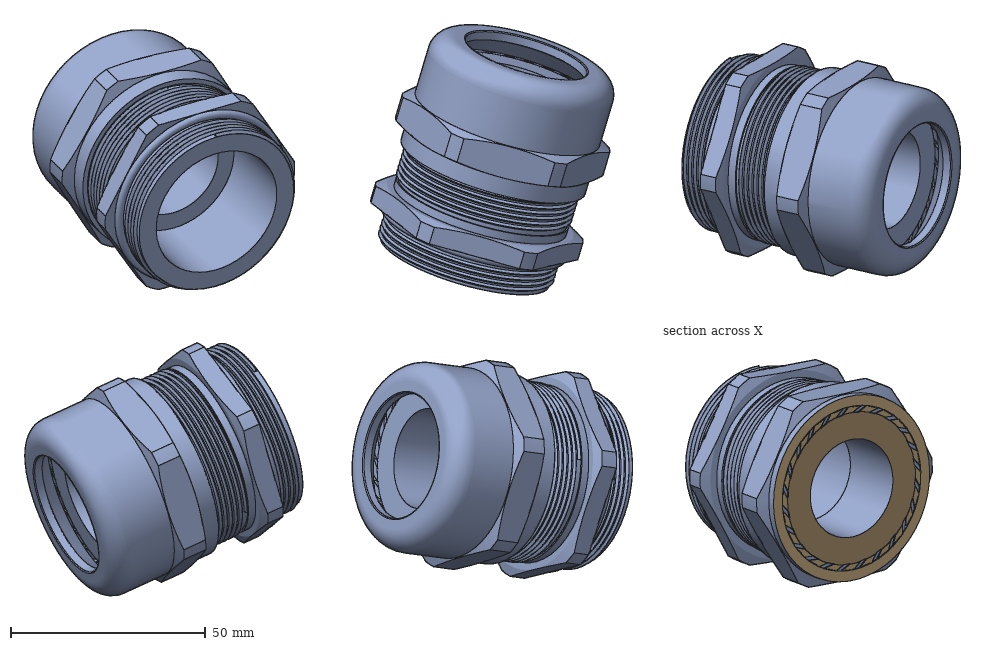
import cadquery as cq
import math


length = 57.5
hex_corner_diameter = 55.6

cap_diameter = 49.6
cap_length = 31.05
cap_nose_radius = 5.4
cap_mouth_diameter = 32.7
cap_mouth_chamfer = 0.3
cap_lip_depth = 2.55
cap_cone_diameter = 33.9
cap_hex_flats = 50.0
cap_hex_start = 17.8
cap_hex_end = 26.45
cap_hex_turn = -2.0
cap_hex_front_bevel = 1.15
cap_hex_rear_bevel = 1.05
thread_relief_depth = 0.7

thread_core_diameter = 45.4
thread_crest_diameter = 46.95
thread_pitch = 1.5
thread_half_width = 0.5
thread_sink = 0.05
neck_start = 24.15
collar_start = 40.95
collar_diameter = 46.3
body_hex_flats = 50.1
body_hex_start = 43.15
body_hex_end = 48.6
body_hex_bevel = 0.85
body_bore_diameter = 35.4
front_thread_end = 40.45
front_thread_turns = 6.25
rear_thread_end = 56.95
rear_thread_turns = 4.25

ring_section_diameter = 2.25
ring_end = 50.1

seal_bore_diameter = 26.0
seal_diameter = 40.4
insert_start = 7.35
seal_end = 34.5
cage_diameter = 43.7
slot_count = 24
slot_width = 0.9
slot_skew = 55.0
slot_length = 8.6
slot_span = 5.75
slot_pitch_angle = 360 / slot_count
first_slot_angle = slot_pitch_angle / 2


def cylinder(diameter, start, end):
    """Cylinder around the X axis from start to end."""
    return cq.Workplane("YZ", origin=(start, 0, 0)).circle(diameter / 2).extrude(end - start)


def cone(start_diameter, end_diameter, start, end):
    """Cone frustum around the X axis from start to end."""
    outline = [(start, 0), (start, start_diameter / 2), (end, end_diameter / 2), (end, 0)]
    return cq.Workplane("XY").polyline(outline).close().revolve(360, (0, 0, 0), (1, 0, 0))


def hexagon(flats, start, end, base_diameter, front_bevel, rear_bevel=0.0):
    """Hexagon with flats facing up and down, rounded corners and bevels that start at base_diameter."""
    prism = (
        cq.Workplane("YZ", origin=(start, 0, 0))
        .polygon(6, flats / math.cos(math.pi / 6))
        .extrude(end - start)
    )
    corner_radius = hex_corner_diameter / 2
    outline = [
        (start, 0),
        (start, base_diameter / 2),
        (start + front_bevel, corner_radius),
        (end - rear_bevel, corner_radius),
    ]
    if rear_bevel:
        outline.append((end, base_diameter / 2))
    outline.append((end, 0))
    envelope = cq.Workplane("XY").polyline(outline).close().revolve(360, (0, 0, 0), (1, 0, 0))
    return prism.intersect(envelope)


def thread_ridge(end, turns, end_direction):
    """Right-handed triangular ridge on the core; its last point is at X = end, towards end_direction."""
    root_radius = thread_core_diameter / 2
    crest_radius = thread_crest_diameter / 2
    flank_run = thread_half_width / (crest_radius - root_radius)
    sunk_radius = root_radius - thread_sink
    sunk_half_width = (crest_radius - sunk_radius) * flank_run
    travel = turns * thread_pitch
    path = cq.Wire.makeHelix(thread_pitch, travel, root_radius)
    ridge = (
        cq.Workplane("XZ")
        .polyline([
            (sunk_radius, -sunk_half_width),
            (crest_radius, 0),
            (sunk_radius, sunk_half_width),
        ])
        .close()
        .sweep(cq.Workplane(path), isFrenet=True)
    )
    start_angle = -360 * turns
    ridge = ridge.rotate((0, 0, 0), (0, 0, 1), start_angle)
    along_x = cq.Plane(origin=(end - travel, 0, 0), xDir=end_direction, normal=(1, 0, 0))
    return cq.Workplane(ridge.val().moved(along_x.location))


def make_cap():
    """Cap nut with a rounded nose, slightly turned hexagon and inner cone that closes on the cage."""
    shell = cylinder(cap_diameter, 0, cap_length).faces("<X").edges().fillet(cap_nose_radius)
    grip = hexagon(
        cap_hex_flats, cap_hex_start, cap_hex_end, cap_diameter, cap_hex_front_bevel, cap_hex_rear_bevel
    )
    cap = shell.union(grip.rotate((0, 0, 0), (1, 0, 0), cap_hex_turn))
    cap = cap.cut(cylinder(cap_mouth_diameter, 0, cap_lip_depth))
    cap = cap.cut(cone(cap_cone_diameter, cage_diameter, cap_lip_depth, insert_start))
    cap = cap.cut(cylinder(cage_diameter, insert_start, neck_start))
    cap = cap.cut(cylinder(thread_core_diameter, neck_start, cap_length))
    cap = cap.cut(cylinder(thread_crest_diameter, cap_length - thread_relief_depth, cap_length))
    mouth = cq.selectors.RadiusNthSelector(0)
    return cap.faces("<X").edges(mouth).chamfer(cap_mouth_chamfer)


def make_body(ring):
    """Threaded body with a hexagon whose rear face is grooved for the ring, and a stepped bore."""
    body = cylinder(thread_core_diameter, neck_start, length)
    body = body.union(cylinder(collar_diameter, collar_start, body_hex_start))
    grip = hexagon(body_hex_flats, body_hex_start, body_hex_end, body_hex_flats, body_hex_bevel)
    body = body.union(grip)
    body = body.cut(ring)
    body = body.union(thread_ridge(front_thread_end, front_thread_turns, (0, -1, 0)))
    body = body.union(thread_ridge(rear_thread_end, rear_thread_turns, (0, 0, 1)))
    body = body.cut(cylinder(seal_diameter, neck_start, seal_end))
    return body.cut(cylinder(body_bore_diameter, seal_end, length))


def make_ring():
    """Round-section sealing ring, partly sunk in the rear face of the body hexagon."""
    section_radius = ring_section_diameter / 2
    centre_radius = body_hex_flats / 2 - section_radius
    return (
        cq.Workplane("XY")
        .center(ring_end - section_radius, centre_radius)
        .circle(section_radius)
        .revolve(360, (0, -centre_radius, 0), (1, -centre_radius, 0))
    )


def make_cage():
    """Tube around the seal, with skewed slots in its front part that leave clamping fingers."""
    cage = cylinder(cage_diameter, insert_start, neck_start)
    cage = cage.cut(cylinder(seal_diameter, insert_start, neck_start))
    wall_middle = (cage_diameter + seal_diameter) / 4
    slot = (
        cq.Workplane("XY")
        .box(slot_length, slot_width, slot_span, centered=(False, True, True))
        .rotate((0, 0, 0), (1, 0, 0), slot_skew)
        .translate((insert_start, 0, wall_middle))
    )
    for index in range(slot_count):
        slot_angle = first_slot_angle + index * slot_pitch_angle
        cage = cage.cut(slot.rotate((0, 0, 0), (1, 0, 0), slot_angle))
    return cage


def make_seal():
    """Plain sleeve that reaches from the cage front to the shoulder in the body."""
    return cylinder(seal_diameter, insert_start, seal_end).cut(
        cylinder(seal_bore_diameter, insert_start, seal_end)
    )


ring = make_ring()
parts = [make_cap(), make_body(ring), ring, make_cage(), make_seal()]

result = cq.Compound.makeCompound([part.solids().val() for part in parts])